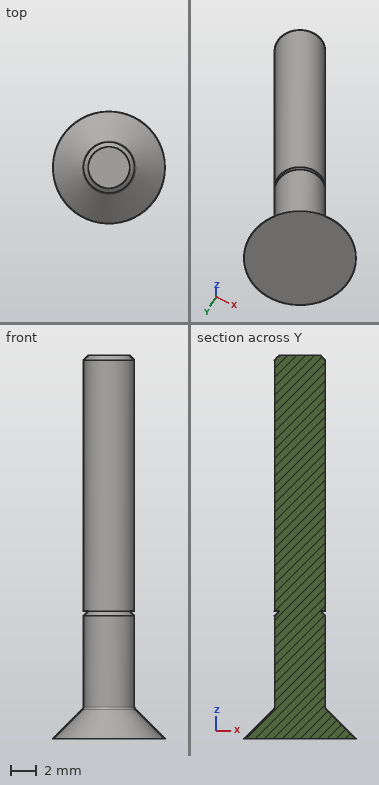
import cadquery as cq
import math

total_length = 30
head_diameter = 8.8
shank_diameter = 4.0
core_diameter = 3.25
thread_length = 20.0
neck_fillet = 0.3

head_radius = head_diameter / 2
shank_radius = shank_diameter / 2
core_radius = core_diameter / 2

head_height = head_radius - shank_radius
chamfer = shank_radius - core_radius
thread_start = total_length - thread_length

cone_angle = math.radians(45)
neck_tangent = neck_fillet * math.tan(cone_angle / 2)
neck_center_r = shank_radius + neck_fillet
neck_top_z = head_height + neck_tangent


def neck_point(angle):
    """Point on the neck arc, turned by angle from its contact with the shank."""
    return (
        neck_center_r - neck_fillet * math.cos(angle),
        neck_top_z - neck_fillet * math.sin(angle),
    )


profile = (
    cq.Workplane("XZ")
    .moveTo(0, 0)
    .lineTo(head_radius, 0)
    .lineTo(*neck_point(cone_angle))
    .threePointArc(neck_point(cone_angle / 2), neck_point(0))
    .lineTo(shank_radius, thread_start - chamfer)
    .lineTo(core_radius, thread_start)
    .lineTo(shank_radius, thread_start)
    .lineTo(shank_radius, total_length - chamfer)
    .lineTo(core_radius, total_length)
    .lineTo(0, total_length)
    .close()
)

result = profile.revolve(360, (0, 0, 0), (0, 1, 0))